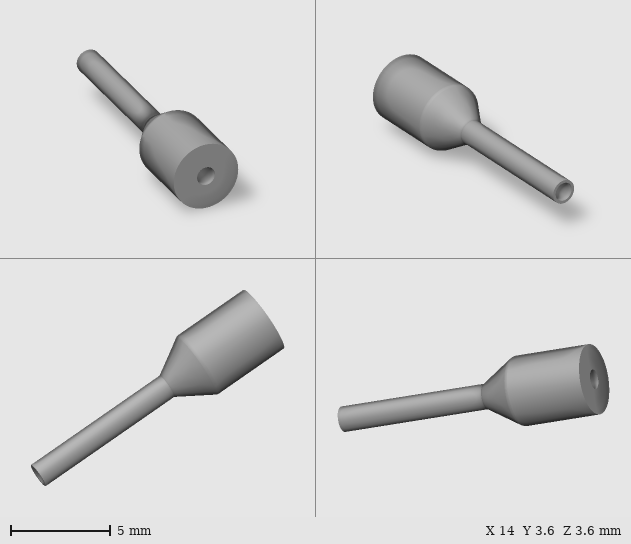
import cadquery as cq

total_length = 14.0
tube_outer_diameter = 1.3
tube_bore_diameter = 1.0
collar_diameter = 3.6

exposed_tube_length = 8.0
shoulder_distance = 9.88
shoulder_round_radius = 0.32

tube_end_x = -total_length / 2
collar_end_x = total_length / 2
cone_start_x = tube_end_x + exposed_tube_length
shoulder_x = tube_end_x + shoulder_distance

tube_radius = tube_outer_diameter / 2
collar_radius = collar_diameter / 2


def make_tube():
    """Metal tube with an open bore, running the full length."""
    return (
        cq.Workplane("YZ", origin=(tube_end_x, 0, 0))
        .circle(tube_radius)
        .circle(tube_bore_diameter / 2)
        .extrude(total_length)
    )


def make_collar():
    """Insulating collar around the tube: a cone that blends into a cylinder."""
    collar = (
        cq.Workplane("XY")
        .moveTo(cone_start_x, tube_radius)
        .lineTo(shoulder_x, collar_radius)
        .lineTo(collar_end_x, collar_radius)
        .lineTo(collar_end_x, tube_radius)
        .close()
        .revolve(360, (0, 0, 0), (1, 0, 0))
    )
    return collar.edges("%CIRCLE").edges("not(<X or >X)").fillet(shoulder_round_radius)


tube = make_tube()
collar = make_collar()

result = cq.Compound.makeCompound([tube.val(), collar.val()])